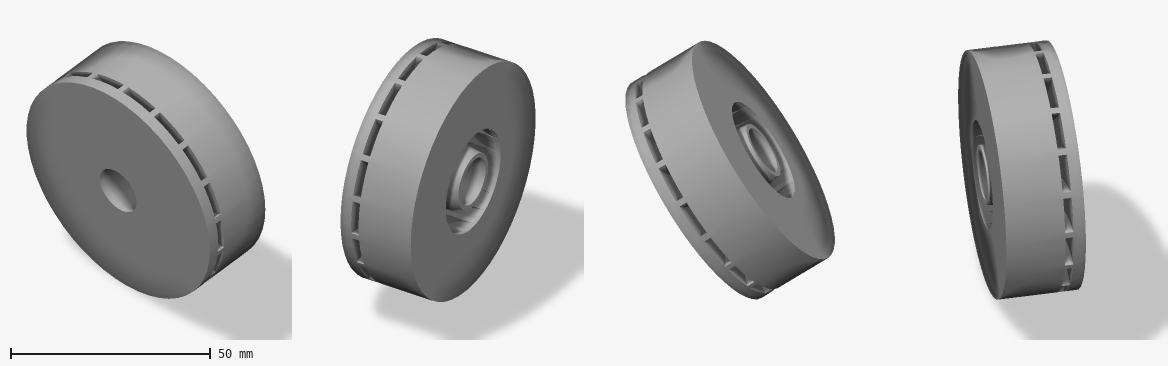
import cadquery as cq
import math

outer_radius = 31.5
total_depth = 20.3
bore_radius = 6.3

plate_thickness = 3.1
outlet_gap = 2.15

hub_nose_radius = 7.55
inlet_radius = 13.9

vane_count = 18
vane_thickness = 1.5
vane_rim_angle = 94.0
vane_lean_angle = 15.5
vane_curve_radius = 88.3
vane_sweep_angle = 16.0
vane_overrun_angle = 2.0

front_y = -total_depth / 2
back_y = total_depth / 2
plate_inner_y = front_y + plate_thickness
shroud_y = plate_inner_y + outlet_gap


def profile_to_rim(start_radius, rim_y):
    """Start a (radius, y) profile: a quarter ellipse, axial at the back face and radial at the rim."""
    return (
        cq.Workplane("XY")
        .moveTo(start_radius, back_y)
        .ellipseArc(outer_radius - start_radius, back_y - rim_y, 180, 270, startAtCurrent=True)
    )


def turn(profile):
    """Close a (radius, y) profile and revolve it around the Y axis."""
    return profile.close().revolve(360, (0, 0, 0), (0, 1, 0))


def make_hub():
    """Flat plate whose inner face sweeps up to a thin nose around the bore."""
    profile = profile_to_rim(hub_nose_radius, plate_inner_y)
    profile = profile.lineTo(outer_radius, front_y).lineTo(bore_radius, front_y)
    return turn(profile.lineTo(bore_radius, back_y))


def make_shroud():
    """Outer ring whose inner face sweeps from the outlet gap to the inlet."""
    profile = profile_to_rim(inlet_radius, shroud_y)
    return turn(profile.lineTo(outer_radius, back_y))


def make_vane_space():
    """Room between hub and shroud that the vanes fill, outward of the inlet."""
    above_hub = turn(profile_to_rim(hub_nose_radius, plate_inner_y).lineTo(outer_radius, back_y))
    inlet = cq.Workplane("XZ").circle(inlet_radius).extrude(total_depth / 2, both=True)
    return above_hub.cut(make_shroud()).cut(inlet)


def polar_offset(origin, distance, angle):
    """Point at a distance and an angle in degrees from an origin."""
    radians = math.radians(angle)
    return (origin[0] + distance * math.cos(radians), origin[1] + distance * math.sin(radians))


def make_vane(rim_angle):
    """Curved strip through the full depth, from just beyond the rim to inside the inlet."""
    rim_point = polar_offset((0, 0), outer_radius, rim_angle)
    rim_side = rim_angle - 90 + vane_lean_angle
    curve_centre = polar_offset(rim_point, -vane_curve_radius, rim_side)

    outer_end = rim_side + vane_overrun_angle
    inner_end = rim_side - vane_sweep_angle
    middle = (outer_end + inner_end) / 2
    convex = vane_curve_radius + vane_thickness / 2
    concave = vane_curve_radius - vane_thickness / 2
    return (
        cq.Workplane("XZ")
        .moveTo(*polar_offset(curve_centre, convex, outer_end))
        .threePointArc(
            polar_offset(curve_centre, convex, middle),
            polar_offset(curve_centre, convex, inner_end),
        )
        .lineTo(*polar_offset(curve_centre, concave, inner_end))
        .threePointArc(
            polar_offset(curve_centre, concave, middle),
            polar_offset(curve_centre, concave, outer_end),
        )
        .close()
        .extrude(total_depth / 2, both=True)
    )


first_vane = make_vane(vane_rim_angle).intersect(make_vane_space()).val()
vanes = [
    first_vane.rotate((0, 0, 0), (0, 1, 0), index * 360 / vane_count)
    for index in range(vane_count)
]
impeller = make_hub().val().fuse(make_shroud().val(), *vanes)
result = cq.Workplane(obj=impeller).solids()